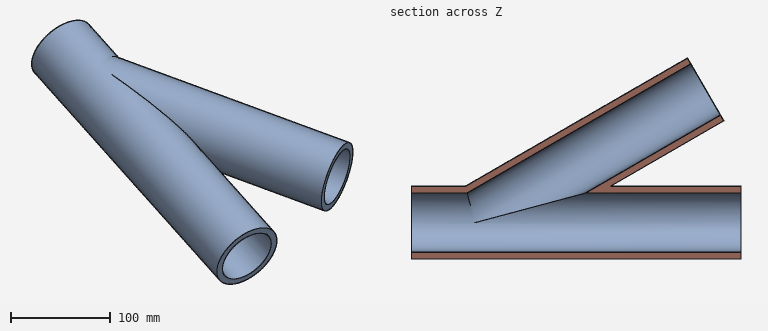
import cadquery as cq
import math

outer_diameter = 73.0
inner_diameter = 59.0

run_length = 330.2

branch_angle = 30.0
branch_length = 266.8
junction_x = 63.7

branch_direction = cq.Vector(
    math.cos(math.radians(branch_angle)),
    math.sin(math.radians(branch_angle)),
    0,
)
run_start = cq.Vector(0, 0, 0)
run_direction = cq.Vector(1, 0, 0)
junction = cq.Vector(junction_x, 0, 0)


def wye(diameter):
    """Solid run and branch of one diameter, joined at the junction."""
    radius = diameter / 2
    run = cq.Solid.makeCylinder(radius, run_length, run_start, run_direction)
    branch = cq.Solid.makeCylinder(radius, branch_length, junction, branch_direction)
    return cq.Workplane(obj=run).union(cq.Workplane(obj=branch))


result = wye(outer_diameter).cut(wye(inner_diameter))